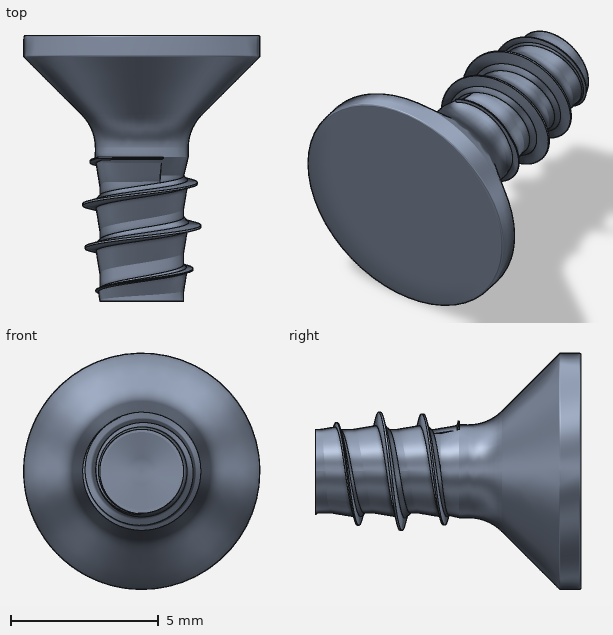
import cadquery as cq
import math


length = 9.0
head_radius = 4.0
rim_depth = 0.72
rim_fillet = 0.075
cone_angle = math.radians(45)
shank_radius = 1.575
neck_radius = 1.6
shank_end = 4.125

core_radius = 1.42
core_start = 4.76
tip_dimple_radius = 1.32
tip_dimple_depth = 0.12

pitch = 1.46
crest_radius = 2.0
crest_depth_on_x = 5.0
crest_half_width = 0.035
least_crest_rise = 0.01
runin_start = 3.8
lead_gap = 0.02
full_start = 5.72
full_end = 6.85
runout_end = 9.1
start_height = 0.45
end_height = 0.05
blend_offset = 0.13
blend_height = 0.17
blend_slope = 1.05
flank_offset = 0.13
ramp_radius = 1.545
ramp_end_radius = 1.43
ramp_fade_start = 7.75
ramp_slope = 0.165
root_radius = 1.39
rail_points_per_turn = 24


def make_blank():
    """Head, neck, shank and plain core as one turned body."""
    neck_center_radius = shank_radius + neck_radius
    cone_end_radius = neck_center_radius - neck_radius * math.cos(cone_angle)
    cone_end = rim_depth + (head_radius - cone_end_radius) / math.tan(cone_angle)
    neck_end = cone_end + neck_radius * math.sin(cone_angle)
    neck_mid_angle = cone_angle / 2
    neck_mid = (
        neck_center_radius - neck_radius * math.cos(neck_mid_angle),
        -(neck_end - neck_radius * math.sin(neck_mid_angle)),
    )
    blank = (
        cq.Workplane("XY")
        .lineTo(head_radius, 0)
        .lineTo(head_radius, -rim_depth)
        .lineTo(cone_end_radius, -cone_end)
        .threePointArc(neck_mid, (shank_radius, -neck_end))
        .lineTo(shank_radius, -shank_end)
        .lineTo(core_radius, -core_start)
        .lineTo(core_radius, -length)
        .lineTo(tip_dimple_radius, -length)
        .lineTo(0, -length + tip_dimple_depth)
        .close()
        .revolve(360, (0, 0, 0), (0, 1, 0))
    )
    rim_box = cq.selectors.BoxSelector(
        (-head_radius, -(rim_depth + rim_fillet), -head_radius),
        (head_radius, rim_fillet, head_radius),
    )
    return blank.edges(rim_box).fillet(rim_fillet)


def interpolate(value, x0, y0, x1, y1):
    """Value at one place on the line through (x0, y0) and (x1, y1)."""
    return y0 + (y1 - y0) * (value - x0) / (x1 - x0)


def height_share(depth):
    """Thread height at a crest depth, as a share of the full height."""
    if depth < full_start:
        return interpolate(depth, runin_start, start_height, full_start, 1)
    if depth > full_end:
        return interpolate(depth, full_end, 1, runout_end, end_height)
    return 1


def thread_profile(depth):
    """Corners of the thread section as (offset from the crest, radius)."""
    share = height_share(depth)
    ramp_top = ramp_radius
    if depth > ramp_fade_start:
        ramp_top = interpolate(depth, ramp_fade_start, ramp_radius, runout_end, ramp_end_radius)
    crest = core_radius + share * (crest_radius - core_radius)
    crest = max(crest, ramp_top + least_crest_rise)
    blend_radius = core_radius + share * blend_height
    flank = share * flank_offset
    ramp_length = (ramp_top - root_radius) / ramp_slope
    return [
        (-share * blend_offset - (blend_radius - root_radius) * blend_slope, root_radius),
        (-share * blend_offset, blend_radius),
        (-share * crest_half_width, crest),
        (share * crest_half_width, crest),
        (flank, ramp_top),
        (flank + ramp_length, root_radius),
    ]


def thread_corners(depth):
    """Thread section corners placed around the axis for an unrolled crest depth."""
    angle = 2 * math.pi * (depth - crest_depth_on_x) / pitch
    crest_depth = max(depth, shank_end + lead_gap)
    return [
        cq.Vector(radius * math.cos(angle), -(crest_depth + offset), radius * math.sin(angle))
        for offset, radius in thread_profile(depth)
    ]


def thread_span_faces(start, end):
    """Ruled faces between neighbouring helical edges over one stretch of thread."""
    steps = math.ceil((end - start) / pitch * rail_points_per_turn)
    sections = [thread_corners(start + (end - start) * i / steps) for i in range(steps + 1)]
    rails = [cq.Edge.makeSpline(list(points)) for points in zip(*sections)]
    return [cq.Face.makeRuledSurface(a, b) for a, b in zip(rails, rails[1:] + rails[:1])]


def thread_cap(depth):
    """Flat face closing the thread at one end."""
    return cq.Face.makeFromWires(cq.Wire.makePolygon(thread_corners(depth), close=True))


def make_thread():
    """Helical thread, trimmed flat at the shank end and at the tip."""
    stations = [runin_start, shank_end + lead_gap, full_start, full_end, ramp_fade_start, runout_end]
    faces = [thread_cap(stations[0]), thread_cap(stations[-1])]
    for start, end in zip(stations, stations[1:]):
        faces += thread_span_faces(start, end)
    thread = cq.Solid.makeSolid(cq.Shell.makeShell(faces))
    sleeve = (
        cq.Workplane("XZ", origin=(0, -shank_end, 0))
        .circle(head_radius)
        .circle(tip_dimple_radius)
        .extrude(length - shank_end)
    )
    return sleeve.intersect(cq.Workplane(thread))


result = make_blank().union(make_thread())